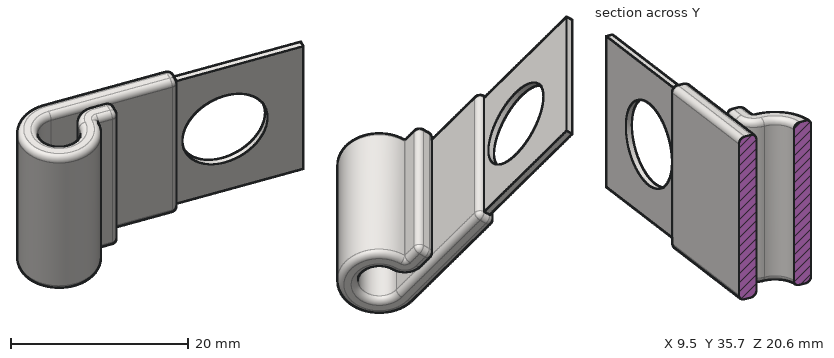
import cadquery as cq


strip_thickness = 0.8128
strip_width = 19.05
cushion_cover = 0.762
bore_diameter = 4.826
strip_end_y = 30.94
cushion_end_y = strip_end_y / 2
hole_diameter = 10.32
hole_end_distance = 9.525
bend_inner_radius = 0.0254
tail_length = 2.475

band_thickness = strip_thickness + 2 * cushion_cover
band_width = strip_width + 2 * cushion_cover

bore_radius = bore_diameter / 2
loop_mid_radius = bore_radius + band_thickness / 2
leg_x = -loop_mid_radius

bend_mid_radius = bend_inner_radius + band_thickness / 2
bend_centre_y = loop_mid_radius + bend_mid_radius
tail_x = -bend_mid_radius

LOOP_START_ANGLE = 180
LOOP_SWEEP = 270
BEND_START_ANGLE = 180
BEND_SWEEP = 90


def straight_band(x, start_y, length):
    """Straight band along +Y with rounded long edges and a rounded free end."""
    block = (
        cq.Workplane("XY")
        .box(band_thickness, length, band_width, centered=(True, False, True))
        .translate((x, start_y, 0))
    )
    return block.edges("|Y or >Y").fillet(cushion_cover)


def curved_band(mid_radius, start_angle, sweep):
    """Band with rounded edges turned counter-clockwise about the Z axis."""
    section = (
        cq.Sketch()
        .push([(mid_radius, 0)])
        .rect(band_thickness, band_width)
        .reset()
        .vertices()
        .fillet(cushion_cover)
    )
    turned = cq.Workplane("XZ").placeSketch(section).revolve(sweep, (0, 0, 0), (0, 1, 0))
    return turned.rotate((0, 0, 0), (0, 0, 1), start_angle)


def mounting_strip():
    """Bare strip with its mounting hole; it also continues inside the leg cushion."""
    strip = (
        cq.Workplane("XY")
        .box(strip_thickness, strip_end_y, strip_width, centered=(True, False, True))
        .translate((leg_x, 0, 0))
    )
    hole = (
        cq.Workplane("YZ")
        .center(strip_end_y - hole_end_distance, 0)
        .circle(hole_diameter / 2)
        .extrude(strip_thickness, both=True)
        .translate((leg_x, 0, 0))
    )
    return strip.cut(hole)


leg = straight_band(leg_x, 0, cushion_end_y)
loop = curved_band(loop_mid_radius, LOOP_START_ANGLE, LOOP_SWEEP)
bend = curved_band(bend_mid_radius, BEND_START_ANGLE, BEND_SWEEP).translate((0, bend_centre_y, 0))
tail = straight_band(tail_x, bend_centre_y, tail_length)

result = leg.union(loop).union(bend).union(tail).union(mounting_strip())